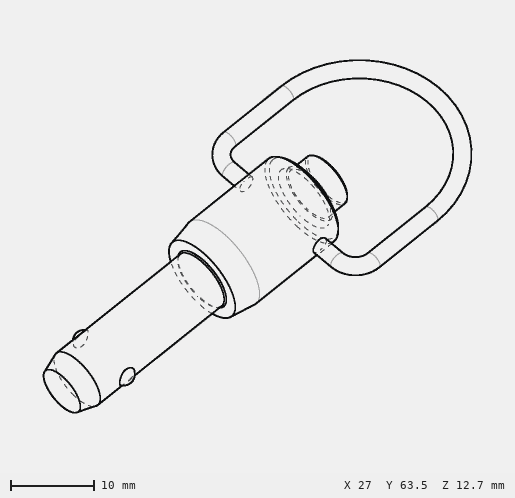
import cadquery as cq
import math

shank_radius = 4.0
nose_radius = 3.2
nose_length = 2.55
root_chamfer = 0.2

body_radius = 6.35
body_front_radius = 5.7
body_front = 23.55
body_taper_length = 3.4
body_back = 40.6
body_chamfer = 0.4

flange_base_radius = 4.4
flange_tip_radius = 4.0
flange_back = 41.55
button_radius = 3.6
button_back = 44.6
button_chamfer = 0.2

ball_radius = 1.4
ball_reach = 4.75
ball_place = 7.05

total_length = 63.45
wire_radius = 1.11
ring_width = 27.0
bend_radius = 3.1
ring_pivot = 37.1


def make_pin():
    """Revolve the radius/length profile of all the coaxial parts."""
    profile = [
        (0, 0),
        (nose_radius, 0),
        (shank_radius, nose_length),
        (shank_radius, body_front - root_chamfer),
        (shank_radius + root_chamfer, body_front),
        (body_front_radius, body_front),
        (body_radius, body_front + body_taper_length),
        (body_radius, body_back - body_chamfer),
        (body_radius - body_chamfer, body_back),
        (flange_base_radius, body_back),
        (flange_tip_radius, flange_back),
        (button_radius, flange_back),
        (button_radius, button_back - button_chamfer),
        (button_radius - button_chamfer, button_back),
        (0, button_back),
    ]
    return cq.Workplane("XY").polyline(profile).close().revolve(360, (0, 0), (0, 1))


def make_ball(side):
    """Locking ball on the +X (side = 1) or -X (side = -1) flank."""
    center_x = side * (ball_reach - ball_radius)
    return cq.Workplane("XY").sphere(ball_radius).translate((center_x, ball_place, 0))


def make_ring():
    """Sweep the wire along a half-circle bow with two legs bent into the body."""
    bow_radius = ring_width / 2 - wire_radius
    bow_top = total_length - wire_radius
    bow_start = bow_top - bow_radius
    leg_start = ring_pivot + bend_radius
    bend_x = bow_radius - bend_radius
    mid_x = bend_x + bend_radius * math.sin(math.pi / 4)
    mid_y = leg_start - bend_radius * math.cos(math.pi / 4)
    buried_x = body_radius / 2

    path = (
        cq.Workplane("XY")
        .moveTo(-buried_x, ring_pivot)
        .lineTo(-bend_x, ring_pivot)
        .threePointArc((-mid_x, mid_y), (-bow_radius, leg_start))
        .lineTo(-bow_radius, bow_start)
        .threePointArc((0, bow_top), (bow_radius, bow_start))
        .lineTo(bow_radius, leg_start)
        .threePointArc((mid_x, mid_y), (bend_x, ring_pivot))
        .lineTo(buried_x, ring_pivot)
    )
    wire_end = cq.Workplane("YZ", origin=(-buried_x, ring_pivot, 0)).circle(wire_radius)
    return wire_end.sweep(path)


result = make_pin().union(make_ring())
for ball_side in (-1, 1):
    result = result.union(make_ball(ball_side))